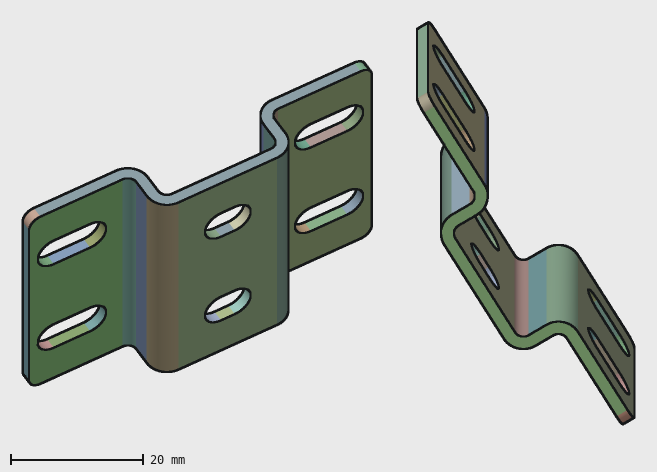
import cadquery as cq

depth = 10.2
length = 60.2
height = 40.0

thickness = 2.0
inner_bend_radius = 1.5
outer_bend_radius = inner_bend_radius + thickness
channel_half_width = 12.15
corner_radius = 2.0

slot_width = 5.6
slot_spacing_z = 20.0
flange_slot_length = 12.0
flange_slot_y = 22.6
web_slot_length = 8.0

flange_back = -depth / 2
flange_front = flange_back + thickness
web_front = depth / 2
web_back = web_front - thickness
wall_outside = channel_half_width
wall_inside = channel_half_width - thickness


def hat_section():
    """Extrude the sharp-cornered hat profile along Z."""
    upper_half = [
        (web_front, wall_outside),
        (flange_front, wall_outside),
        (flange_front, length / 2),
        (flange_back, length / 2),
        (flange_back, wall_inside),
        (web_back, wall_inside),
    ]
    lower_half = [(x, -y) for x, y in reversed(upper_half)]
    profile = cq.Workplane("XY").polyline(upper_half + lower_half).close()
    return profile.extrude(height / 2, both=True)


def round_bends(body):
    """Round the inside and outside of all four bends."""
    bends = [
        (web_front, wall_outside, outer_bend_radius),
        (web_back, wall_inside, inner_bend_radius),
        (flange_back, wall_inside, outer_bend_radius),
        (flange_front, wall_outside, inner_bend_radius),
    ]
    for x, y, radius in bends:
        for side in (1, -1):
            edge = cq.selectors.NearestToPointSelector((x, side * y, 0))
            body = body.edges("|Z").edges(edge).fillet(radius)
    return body


def slot_cutters(length_y, centers_y):
    """Make a pair of slots, one above the other, at each Y position."""
    centers = [(y, z) for y in centers_y for z in (-slot_spacing_z / 2, slot_spacing_z / 2)]
    slots = cq.Workplane("YZ").pushPoints(centers).slot2D(length_y, slot_width)
    return slots.extrude(depth, both=True)


bracket = round_bends(hat_section())
bracket = bracket.faces("<Y or >Y").edges("|X").fillet(corner_radius)
bracket = bracket.cut(slot_cutters(flange_slot_length, (-flange_slot_y, flange_slot_y)))
result = bracket.cut(slot_cutters(web_slot_length, (0,)))